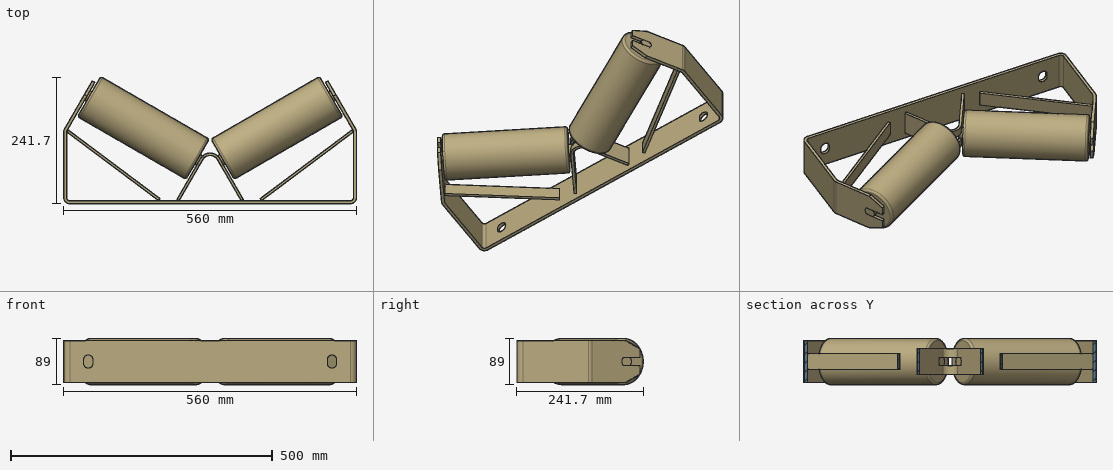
import cadquery as cq
import math

FRAME_LENGTH = 560.0
FRAME_HEIGHT = 80.0
PLATE = 6.0
BEND_RADIUS = 12.0
SIDE_DEPTH = 140.5
WING_LENGTH = 109.0
TIP_TAPER_LENGTH = 30.0
TIP_TAPER_WIDTH = 15.0
MOUNT_SLOT_WIDTH = 18.0
MOUNT_SLOT_HEIGHT = 25.0
MOUNT_SLOT_SPACING = 466.0

TILT = 30.0
ROLLER_DIAMETER = 89.0
ROLLER_LENGTH = 239.5
ROLLER_ROUNDING = 4.5
SHAFT_DIAMETER = 21.0
SHAFT_FLAT_WIDTH = 15.4
END_GAP = 4.0
AXIS_FROM_CORNER = 80.0

BRACKET_HEIGHT = 50.0
BRACKET_THICKNESS = 5.0
BRACKET_RADIUS = 21.0

STRUT_HEIGHT = 30.0
STRUT_THICKNESS = 5.0
STRUT_FOOT_X = 98.5
STRUT_TOP_Y = 137.0

SIN_TILT = math.sin(math.radians(TILT))
COS_TILT = math.cos(math.radians(TILT))
AXIS = cq.Vector(COS_TILT, -SIN_TILT, 0)
WING_UP = cq.Vector(SIN_TILT, COS_TILT, 0)
Z_AXIS = cq.Vector(0, 0, 1)

SPAN = ROLLER_LENGTH + 2 * END_GAP

CORNER = cq.Vector(-FRAME_LENGTH / 2, SIDE_DEPTH, 0)
SHAFT_START = CORNER + WING_UP * AXIS_FROM_CORNER
LEG_FACE_POINT = SHAFT_START + AXIS * (PLATE + SPAN)


def mirrored(shape):
    """Matching shape on the other side of the middle of the length."""
    return shape.mirror("YZ")


def extruded(outline, height):
    """Extrude an XY outline symmetrically about the middle plane."""
    return outline.extrude(height / 2, both=True)


def shaft_plane(point):
    """Plane across the roller axis, with its local X up the wing."""
    return cq.Plane(origin=point.toTuple(), xDir=WING_UP.toTuple(), normal=AXIS.toTuple())


def flatted_end(point, length):
    """Shaft end trimmed by two flats, starting at the point."""
    plane = shaft_plane(point)
    flats = cq.Workplane(plane).rect(SHAFT_DIAMETER, SHAFT_FLAT_WIDTH).extrude(length)
    return cq.Workplane(plane).circle(SHAFT_DIAMETER / 2).extrude(length).intersect(flats)


def shaft_slot(point, length, depth):
    """Open slot up the plate, its closed end fitted to the flatted shaft."""
    channel = (
        cq.Workplane(shaft_plane(point))
        .center(length / 2, 0)
        .rect(length, SHAFT_FLAT_WIDTH)
        .extrude(depth)
    )
    return channel.union(flatted_end(point, depth))


def make_frame():
    """Bent strip with tapered, slotted wing tips and two mounting slots in its base."""
    half = FRAME_LENGTH / 2
    wing_tip = CORNER + WING_UP * WING_LENGTH
    inner_tip = wing_tip + AXIS * PLATE
    inner_corner_y = SIDE_DEPTH - PLATE * math.tan(math.radians(TILT / 2))
    outline = [
        (wing_tip.x, wing_tip.y),
        (-half, SIDE_DEPTH),
        (-half, 0),
        (half, 0),
        (half, SIDE_DEPTH),
        (-wing_tip.x, wing_tip.y),
        (-inner_tip.x, inner_tip.y),
        (half - PLATE, inner_corner_y),
        (half - PLATE, PLATE),
        (PLATE - half, PLATE),
        (PLATE - half, inner_corner_y),
        (inner_tip.x, inner_tip.y),
    ]
    frame = extruded(cq.Workplane("XY").polyline(outline).close(), FRAME_HEIGHT)
    for x in (-half, half):
        for y in (0, SIDE_DEPTH):
            frame = frame.edges(cq.selectors.NearestToPointSelector((x, y, 0))).fillet(BEND_RADIUS)
    for x in (PLATE - half, half - PLATE):
        for y in (PLATE, inner_corner_y):
            edge = cq.selectors.NearestToPointSelector((x, y, 0))
            frame = frame.edges(edge).fillet(BEND_RADIUS - PLATE)

    tip_plane = shaft_plane(wing_tip)
    for side in (-1, 1):
        edge_z = side * FRAME_HEIGHT / 2
        corner = [(0, edge_z), (-TIP_TAPER_LENGTH, edge_z), (0, edge_z - side * TIP_TAPER_WIDTH)]
        taper = cq.Workplane(tip_plane).polyline(corner).close().extrude(PLATE)
        frame = frame.cut(taper).cut(mirrored(taper))

    slot = shaft_slot(SHAFT_START, WING_LENGTH - AXIS_FROM_CORNER, PLATE)
    frame = frame.cut(slot).cut(mirrored(slot))
    mounting = (
        cq.Workplane("XZ")
        .pushPoints([(-MOUNT_SLOT_SPACING / 2, 0), (MOUNT_SLOT_SPACING / 2, 0)])
        .slot2D(MOUNT_SLOT_HEIGHT, MOUNT_SLOT_WIDTH, 90)
        .extrude(-PLATE)
    )
    return frame.cut(mounting)


def make_roller():
    """Left roller with its shaft, flatted where it sits in the slots."""
    drum_start = SHAFT_START + AXIS * (PLATE + END_GAP)
    drum = cq.Workplane(shaft_plane(drum_start)).circle(ROLLER_DIAMETER / 2).extrude(ROLLER_LENGTH)
    drum = drum.edges().fillet(ROLLER_ROUNDING)
    journal_start = SHAFT_START + AXIS * PLATE
    journal = cq.Workplane(shaft_plane(journal_start)).circle(SHAFT_DIAMETER / 2).extrude(SPAN)
    roller = drum.union(journal)
    outer_end = flatted_end(SHAFT_START, PLATE)
    inner_end = flatted_end(LEG_FACE_POINT, BRACKET_THICKNESS)
    return roller.union(outer_end).union(inner_end)


def make_bracket():
    """Inverted V whose square-cut feet stand on the base."""
    peak_y = LEG_FACE_POINT.y - LEG_FACE_POINT.x * COS_TILT / SIN_TILT
    inner_peak_y = peak_y - BRACKET_THICKNESS / SIN_TILT
    inner_foot_x = -(inner_peak_y - PLATE) * SIN_TILT / COS_TILT
    outer_foot = cq.Vector(inner_foot_x, PLATE, 0) - AXIS * BRACKET_THICKNESS
    outline = [
        (outer_foot.x, outer_foot.y),
        (0, peak_y),
        (-outer_foot.x, outer_foot.y),
        (-inner_foot_x, PLATE),
        (0, inner_peak_y),
        (inner_foot_x, PLATE),
    ]
    bracket = extruded(cq.Workplane("XY").polyline(outline).close(), BRACKET_HEIGHT)
    inner_radius = BRACKET_RADIUS - BRACKET_THICKNESS
    for y, radius in ((peak_y, BRACKET_RADIUS), (inner_peak_y, inner_radius)):
        bracket = bracket.edges(cq.selectors.NearestToPointSelector((0, y, 0))).fillet(radius)

    slot_length = -LEG_FACE_POINT.x / SIN_TILT
    slot = shaft_slot(LEG_FACE_POINT, slot_length, BRACKET_RADIUS)
    return bracket.cut(slot).cut(mirrored(slot))


def make_strut():
    """Left strut, square-ended, its underside running from the wing bend to the base."""
    top = cq.Vector(PLATE - FRAME_LENGTH / 2, STRUT_TOP_Y, 0)
    foot = cq.Vector(-STRUT_FOOT_X, PLATE, 0)
    thickness = Z_AXIS.cross((foot - top).normalized()) * STRUT_THICKNESS
    corners = [top, foot, foot + thickness, top + thickness]
    outline = cq.Workplane("XY").polyline([(corner.x, corner.y) for corner in corners]).close()
    return extruded(outline, STRUT_HEIGHT)


frame = make_frame()
bracket = make_bracket()
roller = make_roller()
strut = make_strut()
rollers = [roller, mirrored(roller)]
struts = [strut, mirrored(strut)]
result = cq.Compound.makeCompound(
    [frame.val(), bracket.val(), *[r.val() for r in rollers], *[s.val() for s in struts]]
)